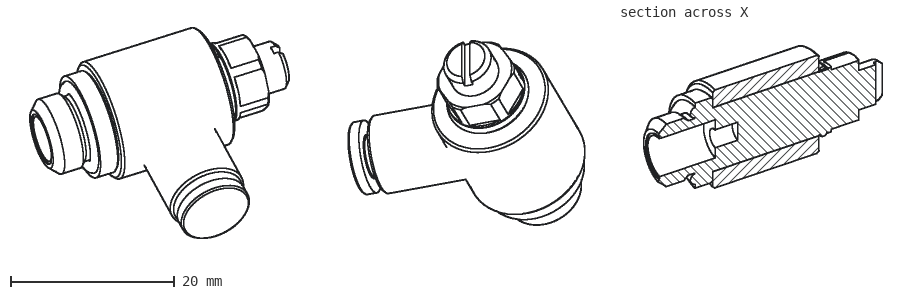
import cadquery as cq
import math


BARREL_RADIUS = 7.5
BARREL_LENGTH = 15.0
BARREL_TOP = BARREL_LENGTH / 2
EDGE_CHAMFER = 0.32
BRANCH_RADIUS = 4.85
BRANCH_END = 16.65
BRANCH_ROOT_FILLET = 0.25
COLLAR_NECK_RADIUS = 2.6
COLLAR_RADIUS = 4.5
COLLAR_START = 17.75
COLLAR_END = 19.2
COLLAR_CHAMFER = 0.22
COLLAR_NECK_FLARE = 0.13

SHANK_RADIUS = 4.83

RING_SECTION_RADIUS = 0.5
RING_OUTER_RADIUS = 5.25
RING_Y = 8.1
RING_GAP = 0.5
HEX_COLLAR_START = 8.7
HEX_START = 9.2
HEX_END = 13.08
HEX_ACROSS_FLATS = 9.1
HEX_CORNER_RADIUS = 4.95
HEX_CHAMFER = 0.25
SCREW_RADIUS = 3.05
SCREW_END = 16.67
SCREW_CHAMFER = 0.6
SLOT_WIDTH = 1.05
SLOT_DEPTH = 1.2

FLANGE_RADIUS = 6.5
FLANGE_CHAMFER = 0.22
FLANGE_END = -9.97
SEAL_SECTION_RADIUS = 0.85
SEAL_BOTTOM = -10.65
NECK_RADIUS = 4.2
NECK_END = -10.92
SPIGOT_RADIUS = 4.8
SPIGOT_END = -15.08
SPIGOT_CHAMFER = 1.08

BORE_RADIUS = 2.85
BORE_DEPTH = 7.95
BORE_MOUTH_RADIUS = 3.18
BORE_MOUTH_DEPTH = 0.13
THROAT_RADIUS = 1.33
THROAT_DEPTH = 3.18


def cylinder_y(radius, start, end):
    """Cylinder on the Y axis between two Y positions."""
    return cq.Workplane("XZ", origin=(0, start, 0)).circle(radius).extrude(start - end)


def torus_y(section_radius, ring_radius, y):
    """Round-section ring about the Y axis; ring_radius is to the section centre."""
    section = cq.Workplane("XY").center(ring_radius, y).circle(section_radius)
    return section.revolve(360, (-ring_radius, 0, 0), (-ring_radius, 1, 0))


def make_branch_collar():
    """Release collar with its neck, revolved about X and flared where they meet."""
    flare_radius = COLLAR_NECK_RADIUS + COLLAR_NECK_FLARE
    profile = [
        (BRANCH_END, 0),
        (BRANCH_END, COLLAR_NECK_RADIUS),
        (COLLAR_START - COLLAR_NECK_FLARE, COLLAR_NECK_RADIUS),
        (COLLAR_START, flare_radius),
        (COLLAR_START, COLLAR_RADIUS),
        (COLLAR_END - COLLAR_CHAMFER, COLLAR_RADIUS),
        (COLLAR_END, COLLAR_RADIUS - COLLAR_CHAMFER),
        (COLLAR_END, 0),
    ]
    return cq.Workplane("XY").polyline(profile).close().revolve(360, (0, 0, 0), (1, 0, 0))


def make_housing():
    barrel = cylinder_y(BARREL_RADIUS, -BARREL_TOP, BARREL_TOP).faces("<Y or >Y").chamfer(EDGE_CHAMFER)
    branch = cq.Workplane("YZ").circle(BRANCH_RADIUS).extrude(BRANCH_END)
    branch = branch.faces(">X").chamfer(EDGE_CHAMFER)
    body = barrel.union(branch)

    root_x = math.sqrt(BARREL_RADIUS**2 - BRANCH_RADIUS**2)
    root_zone = cq.selectors.BoxSelector(
        (root_x - EDGE_CHAMFER, -BRANCH_RADIUS - EDGE_CHAMFER, -BARREL_RADIUS),
        (BARREL_RADIUS + EDGE_CHAMFER, BRANCH_RADIUS + EDGE_CHAMFER, BARREL_RADIUS),
        boundingbox=True,
    )
    body = body.edges(root_zone).fillet(BRANCH_ROOT_FILLET)

    bore = cylinder_y(SHANK_RADIUS, -BARREL_TOP, BARREL_TOP)
    return body.cut(bore).union(make_branch_collar())


def make_hexagon():
    """Hexagon with flats on +Z and -Z, its corners turned round and its top edge chamfered."""
    across_corners = HEX_ACROSS_FLATS / math.cos(math.pi / 6)
    prism = cq.Workplane("XZ", origin=(0, HEX_START, 0)).polygon(6, across_corners).extrude(HEX_START - HEX_END)
    turned = cylinder_y(HEX_CORNER_RADIUS, HEX_START, HEX_END).faces(">Y").chamfer(HEX_CHAMFER)
    return prism.intersect(turned)


def make_split_ring():
    """Snap ring around the shank, open at +Z."""
    ring = torus_y(RING_SECTION_RADIUS, RING_OUTER_RADIUS - RING_SECTION_RADIUS, RING_Y)
    gap = cq.Workplane("XY").box(
        RING_GAP, 2 * RING_SECTION_RADIUS, RING_OUTER_RADIUS, centered=(True, True, False)
    )
    return ring.cut(gap.translate((0, RING_Y, 0)))


def make_screw_head():
    head = cylinder_y(SCREW_RADIUS, HEX_END, SCREW_END).faces(">Y").chamfer(SCREW_CHAMFER)
    slot = cq.Workplane("XY").box(SLOT_WIDTH, SLOT_DEPTH, 2 * SCREW_RADIUS)
    return head.cut(slot.translate((0, SCREW_END - SLOT_DEPTH / 2, 0)))


def make_spigot():
    """Neck, back cone, thread envelope and lead-in chamfer."""
    cone_end = NECK_END - (SPIGOT_RADIUS - NECK_RADIUS)
    profile = [
        (0, FLANGE_END),
        (NECK_RADIUS, FLANGE_END),
        (NECK_RADIUS, NECK_END),
        (SPIGOT_RADIUS, cone_end),
        (SPIGOT_RADIUS, SPIGOT_END + SPIGOT_CHAMFER),
        (SPIGOT_RADIUS - SPIGOT_CHAMFER, SPIGOT_END),
        (0, SPIGOT_END),
    ]
    return cq.Workplane("XY").polyline(profile).close().revolve(360, (0, 0, 0), (0, 1, 0))


def make_flow_passage():
    """Bore with a shallow counterbored mouth and a narrower throat beyond it."""
    bore_end = SPIGOT_END + BORE_DEPTH
    throat_end = bore_end + THROAT_DEPTH
    profile = [
        (0, SPIGOT_END),
        (BORE_MOUTH_RADIUS, SPIGOT_END),
        (BORE_MOUTH_RADIUS, SPIGOT_END + BORE_MOUTH_DEPTH),
        (BORE_RADIUS, SPIGOT_END + BORE_MOUTH_DEPTH),
        (BORE_RADIUS, bore_end),
        (THROAT_RADIUS, bore_end),
        (THROAT_RADIUS, throat_end),
        (0, throat_end),
    ]
    return cq.Workplane("XY").polyline(profile).close().revolve(360, (0, 0, 0), (0, 1, 0))


def make_stem():
    shank = cylinder_y(SHANK_RADIUS, -BARREL_TOP, HEX_COLLAR_START)
    hex_collar = cylinder_y(HEX_CORNER_RADIUS, HEX_COLLAR_START, HEX_START)
    flange = cylinder_y(FLANGE_RADIUS, FLANGE_END, -BARREL_TOP).faces(">Y").chamfer(FLANGE_CHAMFER)
    seal = torus_y(
        SEAL_SECTION_RADIUS, NECK_RADIUS + SEAL_SECTION_RADIUS, SEAL_BOTTOM + SEAL_SECTION_RADIUS
    )
    stem = shank.union(make_split_ring()).union(hex_collar).union(make_hexagon()).union(make_screw_head())
    stem = stem.union(flange).union(make_spigot()).union(seal)
    return stem.cut(make_flow_passage())


housing = make_housing()
stem = make_stem()

result = cq.Compound.makeCompound([housing.val(), stem.val()])